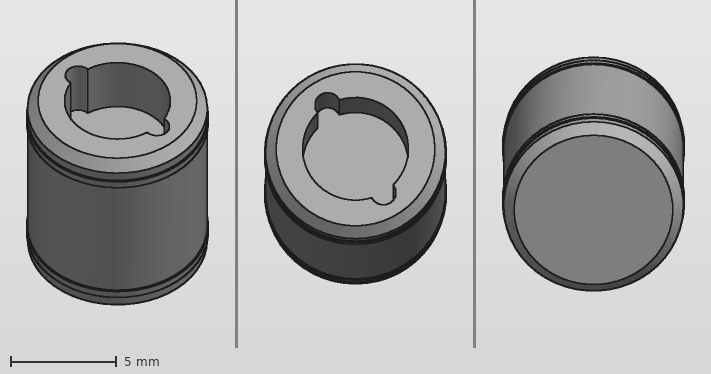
import cadquery as cq

height = 10.0
body_diameter = 8.5
bevel = 0.5

band_diameter = 8.6
band_width = 0.5
band_end_gap = 1.0
band_bevel = (band_diameter - body_diameter) / 2

socket_diameter = 5.0
socket_depth = 3.0
keyway_width = 1.2
keyway_span = socket_diameter + keyway_width


def bevelled_cylinder(diameter, length, edge_bevel, bottom=0.0):
    base = cq.Workplane("XY").workplane(offset=bottom)
    return base.circle(diameter / 2).extrude(length).faces("<Z or >Z").chamfer(edge_bevel)


def make_socket():
    floor = cq.Workplane("XY").workplane(offset=height - socket_depth)
    bore = floor.circle(socket_diameter / 2).extrude(socket_depth)
    keyways = floor.slot2D(keyway_span, keyway_width).extrude(socket_depth)
    return bore.union(keyways)


result = bevelled_cylinder(body_diameter, height, bevel)
for band_bottom in (band_end_gap, height - band_end_gap - band_width):
    result = result.union(bevelled_cylinder(band_diameter, band_width, band_bevel, band_bottom))
result = result.cut(make_socket())